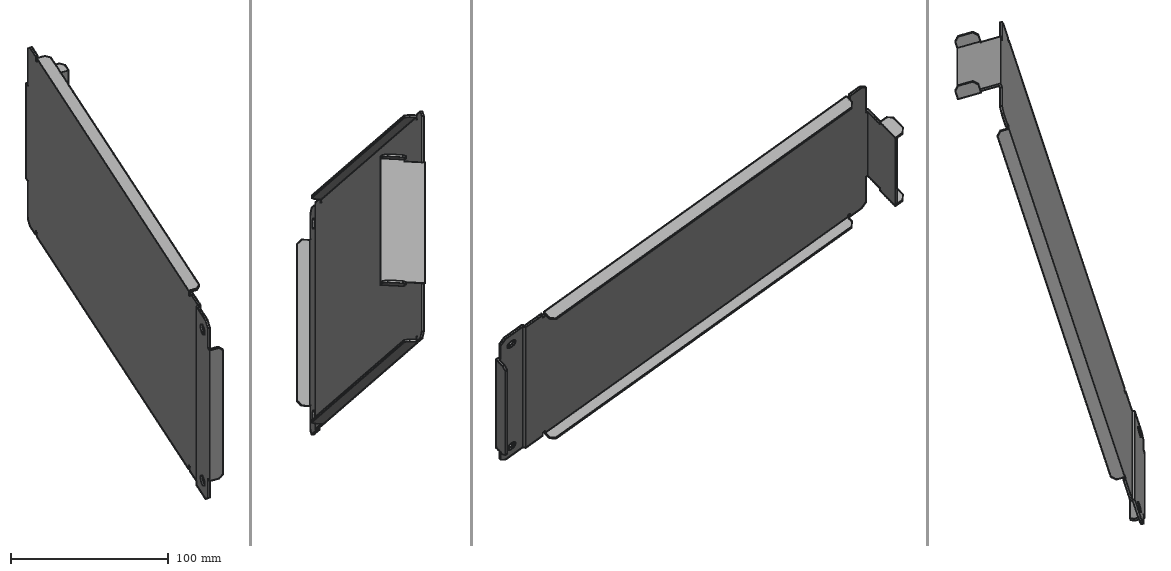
import cadquery as cq

length = 312.8
depth = 30.5
height = 147.0
sheet = 1.5

panel_left = 10.0
panel_right = 290.3
panel_front = sheet
strip_left = 291.3
joggle_back_shift = 0.5
strip_right = 310.0
corner_cut = 3.8
hole_diameter = 7.0
hole_x = 301.3
hole_edge_distance = 11.3

edge_flange_left = 25.0
edge_flange_right = 274.7
edge_flange_back = 10.0
relief_width = 2.0
relief_depth = 3.0
flange_cut = 2.8

right_flange_height = 107.5
right_flange_back = 9.5

left_flange_left = 7.2
left_flange_height = 78.2
clip_front = 15.0
clip_span = 83.2

half_height = height / 2


def box(x0, x1, y0, y1, z0, z1):
    """Box between opposite corners."""
    return cq.Workplane("XY").box(x1 - x0, y1 - y0, z1 - z0, centered=False).translate((x0, y0, z0))


def centred_box(x0, x1, y0, y1, z_height):
    """Box centred about mid-height."""
    return box(x0, x1, y0, y1, -z_height / 2, z_height / 2)


def make_panel():
    """Panel and strip joined by a sloping joggle, as one extruded section."""
    section = [
        (panel_left, panel_front),
        (panel_right, panel_front),
        (strip_left, 0),
        (strip_right, 0),
        (strip_right, sheet),
        (strip_left + joggle_back_shift, sheet),
        (panel_right + joggle_back_shift, panel_front + sheet),
        (panel_left, panel_front + sheet),
    ]
    panel = cq.Workplane("XY").polyline(section).close().extrude(half_height, both=True)
    panel = panel.edges("|Y and <X").chamfer(corner_cut)
    return panel.edges("|Y and >X").chamfer(corner_cut)


def make_edge_flange(side):
    z_outer = side * half_height
    z_inner = side * (half_height - sheet)
    flange = box(
        edge_flange_left, edge_flange_right, panel_front, edge_flange_back,
        min(z_outer, z_inner), max(z_outer, z_inner),
    )
    return flange.edges("|Z and >Y").chamfer(flange_cut)


def make_right_flange():
    web = centred_box(strip_right, length, 0, sheet, right_flange_height)
    flange = centred_box(length - sheet, length, 0, right_flange_back, right_flange_height)
    return web.union(flange.edges("|X and >Y").chamfer(flange_cut))


def make_left_flange():
    flange_right = left_flange_left + sheet
    web = centred_box(left_flange_left, panel_left, panel_front, panel_front + sheet, left_flange_height)
    flange = centred_box(left_flange_left, flange_right, panel_front, depth, left_flange_height)
    root = centred_box(left_flange_left, flange_right, clip_front, depth, clip_span)
    left_end = web.union(flange).union(root)
    for side in (-1, 1):
        clip = centred_box(0, flange_right, clip_front, depth, sheet)
        clip = clip.edges("|Z and <X").chamfer(flange_cut)
        left_end = left_end.union(clip.translate((0, 0, side * (clip_span - sheet) / 2)))
    return left_end


def make_cutters(side):
    """Mounting hole and relief slots at the top or bottom edge."""
    hole = cq.Workplane("XZ").center(hole_x, side * (half_height - hole_edge_distance))
    cutters = hole.circle(hole_diameter / 2).extrude(depth, both=True)
    for slot_left in (edge_flange_left - relief_width, edge_flange_right):
        slot = centred_box(slot_left, slot_left + relief_width, 0, depth, 2 * relief_depth)
        cutters = cutters.union(slot.translate((0, 0, side * half_height)))
    return cutters


result = make_panel().union(make_right_flange()).union(make_left_flange())
for edge_side in (-1, 1):
    result = result.union(make_edge_flange(edge_side))
    result = result.cut(make_cutters(edge_side))